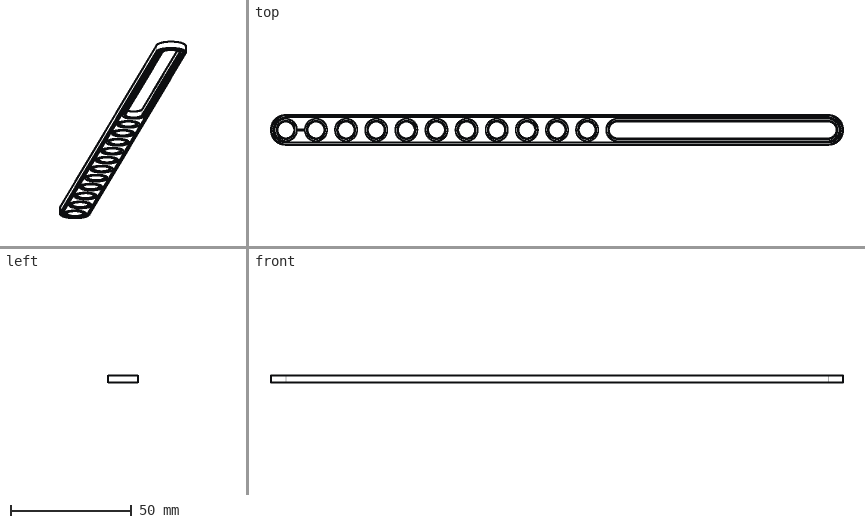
import cadquery as cq

length = 237.5
cell_count = 19
hole_count = 11
hole_diameter = 7.0
collar_diameter = 9.3
rim_width = 1.07
recess_depth = 0.2
rib_width = 0.7
outer_chamfer = 0.28
hole_chamfer = 0.35

pitch = length / cell_count
width = pitch
thickness = pitch / 4
last_cell_x = (length - pitch) / 2
first_hole_x = -last_cell_x
hole_xs = [first_hole_x + i * pitch for i in range(hole_count)]
slot_start_x = first_hole_x + hole_count * pitch


def round_bar(start_x, end_x, bar_width, height, taper=0):
    """Full-round bar standing on Z = 0, its end arcs centred at the two X positions."""
    base = cq.Workplane("XY").center((start_x + end_x) / 2, 0)
    if start_x == end_x:
        outline = base.circle(bar_width / 2)
    else:
        outline = base.slot2D(end_x - start_x + bar_width, bar_width)
    return outline.extrude(height, taper=taper)


def to_other_face(tool):
    """Mirror a tool from the lower face to the upper face."""
    return tool.mirror("XY", (0, 0, thickness / 2))


def chamfered_strip():
    """Full-round strip with the rims of both faces chamfered."""
    strip = round_bar(first_hole_x, last_cell_x, width, thickness)
    return strip.faces("<Z or >Z").edges().chamfer(outer_chamfer)


def recess(openings):
    """Shallow recess inside the rim that leaves the collars and the rib standing."""
    pocket = round_bar(first_hole_x, last_cell_x, width - 2 * rim_width, recess_depth)
    for start_x, end_x in openings:
        pocket = pocket.cut(round_bar(start_x, end_x, collar_diameter, recess_depth))
    rib = (
        cq.Workplane("XY")
        .center((hole_xs[0] + hole_xs[1]) / 2, 0)
        .rect(pitch, rib_width)
        .extrude(recess_depth)
    )
    return pocket.cut(rib)


def opening_cutter(start_x, end_x):
    """Through hole or slot with a 45 degree chamfer at both faces."""
    through = round_bar(start_x, end_x, hole_diameter, thickness)
    mouth_width = hole_diameter + 2 * hole_chamfer
    mouth = round_bar(start_x, end_x, mouth_width, hole_chamfer, taper=45)
    return through.union(mouth).union(to_other_face(mouth))


openings = [(x, x) for x in hole_xs]
openings.append((slot_start_x, last_cell_x))

lower_recess = recess(openings)
strip = chamfered_strip().cut(lower_recess).cut(to_other_face(lower_recess))
for start_x, end_x in openings:
    strip = strip.cut(opening_cutter(start_x, end_x))

result = strip.translate((0, 0, -thickness / 2))